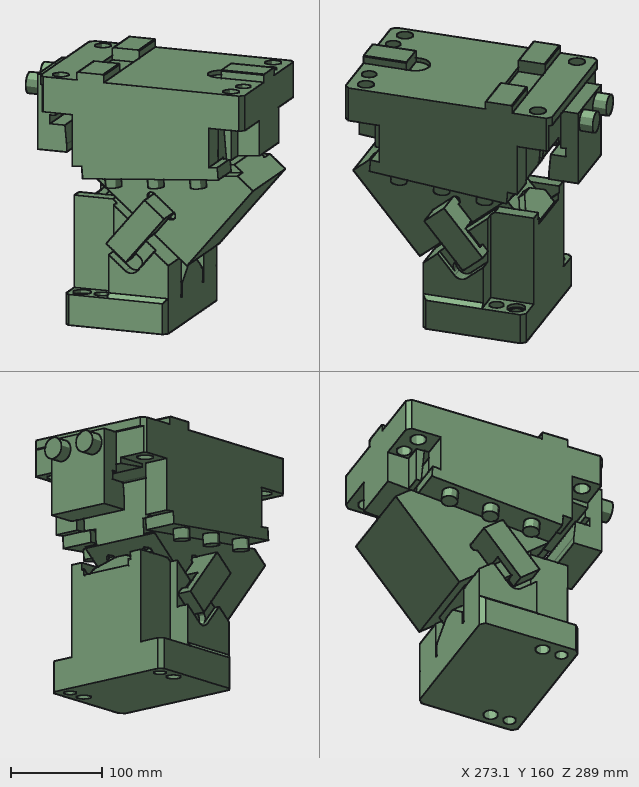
import cadquery as cq
import math

DRIVE_ANGLE = 40
SLIDE_ANGLE = 5
FAR = 400
SLIDE_ORIGIN = (20, 182.15)
HALF_WIDTH = 80
CORNER_CHAMFER = 5


def level(x, z):
    """Frame along the X and Z axes."""
    return x, z


def drive(u, n):
    """Frame of the drive slope: u runs down the slope, n stands square to it."""
    t = math.radians(DRIVE_ANGLE)
    return u * math.cos(t) + n * math.sin(t), n * math.cos(t) - u * math.sin(t)


def slide(a, b):
    """Frame of the slide way: a runs up the way, b stands square to it."""
    t = math.radians(SLIDE_ANGLE)
    x = SLIDE_ORIGIN[0] + a * math.cos(t) - b * math.sin(t)
    z = SLIDE_ORIGIN[1] + a * math.sin(t) + b * math.cos(t)
    return x, z


def prism(points, y_start, y_end):
    """Extrude an X-Z outline from y_start to y_end."""
    plane = cq.Workplane("XZ", origin=(0, y_start, 0))
    return plane.polyline(points).close().extrude(y_start - y_end)


def block(frame, first, second, y_range):
    """Block with its X-Z rectangle laid along the given frame."""
    corners = [
        frame(first[0], second[0]),
        frame(first[1], second[0]),
        frame(first[1], second[1]),
        frame(first[0], second[1]),
    ]
    return prism(corners, *y_range)


def middle(half):
    return -half, half


def both_sides(shape):
    """The shape together with its mirror image in Y."""
    return shape.union(shape.mirror("XZ"))


def cylinder(center, direction, radius, length):
    return cq.Workplane(cq.Solid.makeCylinder(radius, length, cq.Vector(*center), cq.Vector(*direction)))


def drive_direction(u, n):
    x, z = drive(u, n)
    return x, 0, z


def slide_direction(a, b):
    x, z = slide(a, b)
    return x - SLIDE_ORIGIN[0], 0, z - SLIDE_ORIGIN[1]


def along_drive(points, u_start, u_end):
    """Extrude a Y-n outline along the drive slope."""
    plane = cq.Plane(origin=drive_direction(u_start, 0), xDir=(0, 1, 0), normal=drive_direction(1, 0))
    return cq.Workplane(plane).polyline(points).close().extrude(u_end - u_start)


BASE_SLOPE_N = 136.5
SLIDER_FLOOR_N = 140.5
RIDGE_HALF = 32
RIDGE_FLAT_HALF = 8
RIDGE_TOP_N = 128.5
RIDGE_EAVE_N = 113.1
RIDGE_START_U = -74.7
SHOE_START_U = -66
SHOE_END_U = 35
HOOK_U = (-25, 5)
HOOK_N = (106, 176)
LIP_TOP_N = 116
NOTCH_TOP_N = 142.2
SHOE_RELIEF_RADIUS = 6
HOOK_RELIEF_RADIUS = 5
RELIEF_DEPTH = 5

BASE_LENGTH = 120
FLANGE_HEIGHT = 35
COLUMN_HEIGHT = 140
COLUMN_HALF = 50
COLUMN_LENGTH = 50
WIDE_HALF = HALF_WIDTH - CORNER_CHAMFER
POCKET_HALF = 60
POCKET_N = 96
POCKET_END_U = 20
POCKET_RADIUS = 10
RAIL_HALF = 68.5
RAIL_START_U = -20
RAIL_BOTTOM_N = 117
RAIL_FILLET = 8
CHANNEL_HALF = 35
CHANNEL_FLOOR_N = 101.3
RIDGE_FLOOR_N = 96
FLANGE_HOLE_Y = 65
BOLT_HOLE = (15, 14, 20, 4)
DOWEL_HOLE = (38, 16)


def side_pocket():
    """Clearance for one hook, leaving the rail that the hook reaches under."""
    pocket = block(drive, (-FAR, POCKET_END_U), (POCKET_N, FAR), (POCKET_HALF, HALF_WIDTH))
    return pocket.edges("|Y").fillet(POCKET_RADIUS)


def rail():
    """Rail on one side, rounded into the end wall of its pocket."""
    y_range = (POCKET_HALF, RAIL_HALF)
    bar = block(drive, (RAIL_START_U, POCKET_END_U), (RAIL_BOTTOM_N, BASE_SLOPE_N), y_range)
    fillet_u = (POCKET_END_U - RAIL_FILLET, POCKET_END_U)
    fillet_n = (RAIL_BOTTOM_N - RAIL_FILLET, RAIL_BOTTOM_N)
    x, z = drive(fillet_u[0], fillet_n[0])
    web = block(drive, fillet_u, fillet_n, y_range)
    web = web.cut(cylinder((x, POCKET_HALF, z), (0, 1, 0), RAIL_FILLET, RAIL_HALF - POCKET_HALF))
    return bar.union(web)


def make_flange():
    """Foot plate; beside the wide part of the column its edges slope up to the column sides."""
    top = FLANGE_HEIGHT + CORNER_CHAMFER
    plate = block(level, (0, BASE_LENGTH), (0, top), middle(HALF_WIDTH))
    plate = plate.edges("|Z").chamfer(CORNER_CHAMFER)
    profile = [
        (-HALF_WIDTH, 0),
        (HALF_WIDTH, 0),
        (HALF_WIDTH, FLANGE_HEIGHT),
        (WIDE_HALF, top),
        (-WIDE_HALF, top),
        (-HALF_WIDTH, FLANGE_HEIGHT),
    ]
    plate = plate.intersect(cq.Workplane("YZ").polyline(profile).close().extrude(BASE_LENGTH))
    return plate.cut(block(level, (0, COLUMN_LENGTH), (FLANGE_HEIGHT, top), middle(HALF_WIDTH)))


def make_base():
    column = block(level, (0, BASE_LENGTH), (0, COLUMN_HEIGHT), middle(COLUMN_HALF))
    wide = block(level, (COLUMN_LENGTH, BASE_LENGTH), (FLANGE_HEIGHT, COLUMN_HEIGHT), middle(WIDE_HALF))
    wide = wide.cut(both_sides(side_pocket()))
    below_slope = block(drive, (-FAR, FAR), (-FAR, BASE_SLOPE_N), middle(FAR))
    body = make_flange().union(column).union(wide).union(both_sides(rail())).intersect(below_slope)

    body = body.cut(block(drive, (-FAR, FAR), (CHANNEL_FLOOR_N, FAR), middle(CHANNEL_HALF)))
    body = body.cut(block(drive, (-FAR, RIDGE_START_U), (RIDGE_FLOOR_N, FAR), middle(RIDGE_HALF)))
    ridge = along_drive(
        [
            (-RIDGE_HALF, CHANNEL_FLOOR_N),
            (RIDGE_HALF, CHANNEL_FLOOR_N),
            (RIDGE_HALF, RIDGE_EAVE_N),
            (RIDGE_FLAT_HALF, RIDGE_TOP_N),
            (-RIDGE_FLAT_HALF, RIDGE_TOP_N),
            (-RIDGE_HALF, RIDGE_EAVE_N),
        ],
        RIDGE_START_U,
        FAR,
    )
    body = body.union(ridge.intersect(block(level, (0, BASE_LENGTH), (0, FAR), middle(RIDGE_HALF))))

    for y in (-FLANGE_HOLE_Y, FLANGE_HOLE_Y):
        x, diameter, bore, depth = BOLT_HOLE
        body = body.cut(cylinder((x, y, 0), (0, 0, 1), diameter / 2, FLANGE_HEIGHT))
        body = body.cut(cylinder((x, y, FLANGE_HEIGHT - depth), (0, 0, 1), bore / 2, depth))
        x, diameter = DOWEL_HOLE
        body = body.cut(cylinder((x, y, 0), (0, 0, 1), diameter / 2, FLANGE_HEIGHT))
    return body


SLIDER_HALF = 50
SLIDER_TOP_N = 261.3
SLIDER_END_U = 55
SLIDER_START_A = 2
PLATE_THICKNESS = 14
SHOULDER_B = -17
TONGUE_HALF = 34.5
TONGUE_TOP_B = -8
HEAD_END_A = 150
HEAD_TOP_B = 44
HOOK_LIP_HALF = 61.7
HOOK_NOTCH_HALF = 70


def hook():
    """Hook on one side, reaching under the rail of the base."""
    body = block(drive, HOOK_U, HOOK_N, (SLIDER_HALF, HALF_WIDTH))
    notch = block(drive, HOOK_U, (LIP_TOP_N, NOTCH_TOP_N), (SLIDER_HALF, HOOK_NOTCH_HALF))
    opening = block(drive, HOOK_U, (HOOK_N[0], LIP_TOP_N), (SLIDER_HALF, HOOK_LIP_HALF))
    return body.cut(notch).cut(opening)


def make_slider():
    wedge = block(drive, (-FAR, SLIDER_END_U), (SLIDER_FLOOR_N, SLIDER_TOP_N), middle(SLIDER_HALF))
    shoulder = block(slide, (SLIDER_START_A, FAR), (-FAR, SHOULDER_B), middle(SLIDER_HALF))
    tongue = block(slide, (SLIDER_START_A, FAR), (-FAR, TONGUE_TOP_B), middle(TONGUE_HALF))
    body = wedge.intersect(shoulder.union(tongue))
    head_a = (SLIDER_START_A, HEAD_END_A)
    body = body.union(block(slide, head_a, (SHOULDER_B, HEAD_TOP_B), middle(TONGUE_HALF)))
    body = body.union(block(slide, head_a, (0, HEAD_TOP_B), middle(SLIDER_HALF)))

    for side in (-1, 1):
        x, z = drive(SHOE_START_U, SLIDER_FLOOR_N)
        center = (x, side * (RIDGE_HALF - SHOE_RELIEF_RADIUS), z)
        body = body.cut(cylinder(center, drive_direction(0, 1), SHOE_RELIEF_RADIUS, RELIEF_DEPTH))
        for u in HOOK_U:
            x, z = drive(u, HOOK_N[1] - HOOK_RELIEF_RADIUS)
            center = (x, side * SLIDER_HALF, z)
            body = body.cut(cylinder(center, (0, -side, 0), HOOK_RELIEF_RADIUS, RELIEF_DEPTH))
    hook_root = block(drive, HOOK_U, (NOTCH_TOP_N, HOOK_N[1]), middle(SLIDER_HALF))
    body = body.union(hook_root).union(both_sides(hook()))

    shoe_top = SLIDER_FLOOR_N + RELIEF_DEPTH
    shoe = along_drive(
        [
            (-RIDGE_HALF, shoe_top),
            (-RIDGE_HALF, RIDGE_EAVE_N),
            (-RIDGE_FLAT_HALF, RIDGE_TOP_N),
            (RIDGE_FLAT_HALF, RIDGE_TOP_N),
            (RIDGE_HALF, RIDGE_EAVE_N),
            (RIDGE_HALF, shoe_top),
        ],
        SHOE_START_U,
        SHOE_END_U,
    )
    return body.union(shoe)


TOP_X = (-30, 210)
TOP_Z = (240, 280)
CLAMP_SEAT = (-27, 270)
WEB_X = (9, 169.5)
WAY_HALF = 50
SLOT_HALF = 40
PLATE_LENGTH = 160
CEILING_B = 55
PAD_HALF = 44.5
STOP_START_A = 159.5
STOP_BOTTOM_B = 1
STOP_HALF = 49.5
STOP_REAR_X = 184.6
STOP_REAR_HALF = 30
CLAMP_HALF = 38
CLAMP_FRONT_X = -47.5
CLAMP_BOTTOM_Z = 184.5
CLAMP_GROOVE = (-33, 215, 225)
CLAMP_LIP = (-15.5, -13.5, 194)
CLAMP_SCREW = (12, 15.5, 22.5, 255)
PLATE_SCREW = (9, 12, 65)
PLATE_SCREW_A = (30, 80, 130)
MOUNT_HOLES_X = (-10, 190)
MOUNT_HOLE = (9, 65)
REAR_HOLE = (195, 8.25, 40)
KEY_TOP = 289
KEY_CHAMFER = 1
GROOVE_FLOOR = 275
CROSS_KEY_X = (14.5, 46)
CROSS_KEY_Y = (30, HALF_WIDTH)
LONG_KEY_X = (160, 210)
LONG_KEY_HALF = 16
LONG_SLOT_CENTER_X = 155


def make_clamp():
    """Hooked front clamp with its screw heads."""
    seat_x, top_z = CLAMP_SEAT
    groove_x, groove_bottom, groove_top = CLAMP_GROOVE
    lip_top_x, lip_x, lip_z = CLAMP_LIP
    outline = [
        (CLAMP_FRONT_X, top_z),
        (seat_x, top_z),
        (seat_x, groove_top),
        (groove_x, groove_top),
        (groove_x, groove_bottom),
        (lip_top_x, groove_bottom),
        (lip_x, lip_z),
        (lip_x, CLAMP_BOTTOM_Z),
        (CLAMP_FRONT_X, CLAMP_BOTTOM_Z),
    ]
    clamp = prism(outline, *middle(CLAMP_HALF))
    radius, head, y, z = CLAMP_SCREW
    for side in (-1, 1):
        clamp = clamp.union(cylinder((CLAMP_FRONT_X, side * y, z), (-1, 0, 0), radius, head))
    return clamp


def make_holder():
    length = TOP_X[1] - TOP_X[0]
    body = cq.Workplane("XY", origin=(0, 0, TOP_Z[0])).center(sum(TOP_X) / 2, 0)
    body = body.rect(length, 2 * HALF_WIDTH).extrude(TOP_Z[1] - TOP_Z[0])
    body = body.edges("|Z").chamfer(CORNER_CHAMFER)
    seat_x, seat_z = CLAMP_SEAT
    body = body.cut(block(level, (-FAR, seat_x), (-FAR, seat_z), middle(FAR)))

    below_ceiling = block(slide, (-FAR, FAR), (-FAR, CEILING_B), middle(FAR))
    pad = block(level, (seat_x, WEB_X[0]), (0, TOP_Z[0]), middle(PAD_HALF))
    body = body.union(pad.cut(below_ceiling))
    above_plates = block(slide, (-FAR, FAR), (0, FAR), middle(FAR))
    web = block(level, WEB_X, (0, TOP_Z[0]), (WAY_HALF, HALF_WIDTH)).intersect(above_plates)
    body = body.union(both_sides(web))
    way = block(level, (WEB_X[0], FAR), (0, FAR), middle(WAY_HALF)).intersect(below_ceiling)
    body = body.cut(way.intersect(block(slide, (-FAR, STOP_START_A), (-FAR, FAR), middle(FAR))))

    stop = block(level, (0, STOP_REAR_X), (0, TOP_Z[0]), middle(STOP_HALF))
    stop = stop.union(block(level, (STOP_REAR_X, TOP_X[1]), (0, TOP_Z[0]), middle(STOP_REAR_HALF)))
    body = body.union(stop.intersect(block(slide, (STOP_START_A, FAR), (STOP_BOTTOM_B, FAR), middle(FAR))))

    plate = block(slide, (0, PLATE_LENGTH), (-PLATE_THICKNESS, 0), (SLOT_HALF, HALF_WIDTH))
    radius, head, y = PLATE_SCREW
    for a in PLATE_SCREW_A:
        x, z = slide(a, -PLATE_THICKNESS)
        plate = plate.union(cylinder((x, y, z), slide_direction(0, -1), radius, head))
    body = body.union(both_sides(plate))

    body = body.union(make_clamp())

    for side in (-1, 1):
        radius, y = MOUNT_HOLE
        for x in MOUNT_HOLES_X:
            body = body.cut(cylinder((x, side * y, 0), (0, 0, 1), radius, FAR))
        x, radius, y = REAR_HOLE
        body = body.cut(cylinder((x, side * y, 0), (0, 0, 1), radius, FAR))

    body = body.cut(block(level, CROSS_KEY_X, (GROOVE_FLOOR, FAR), middle(HALF_WIDTH)))
    cross_key = block(level, CROSS_KEY_X, (GROOVE_FLOOR, KEY_TOP), CROSS_KEY_Y)
    cross_key = cross_key.faces(">Z").edges("<X or >X").chamfer(KEY_CHAMFER)
    body = body.union(both_sides(cross_key))
    slot_x = (LONG_SLOT_CENTER_X, TOP_X[1])
    slot = block(level, slot_x, (GROOVE_FLOOR, FAR), middle(LONG_KEY_HALF))
    slot = slot.union(cylinder((slot_x[0], 0, GROOVE_FLOOR), (0, 0, 1), LONG_KEY_HALF, FAR))
    long_key = block(level, LONG_KEY_X, (GROOVE_FLOOR, KEY_TOP), middle(LONG_KEY_HALF))
    long_key = long_key.faces(">Z").edges("<Y or >Y").chamfer(KEY_CHAMFER)
    return body.cut(slot).union(long_key)


base = make_base()
slider = make_slider()
holder = make_holder()

result = cq.Compound.makeCompound([base.val(), slider.val(), holder.val()])